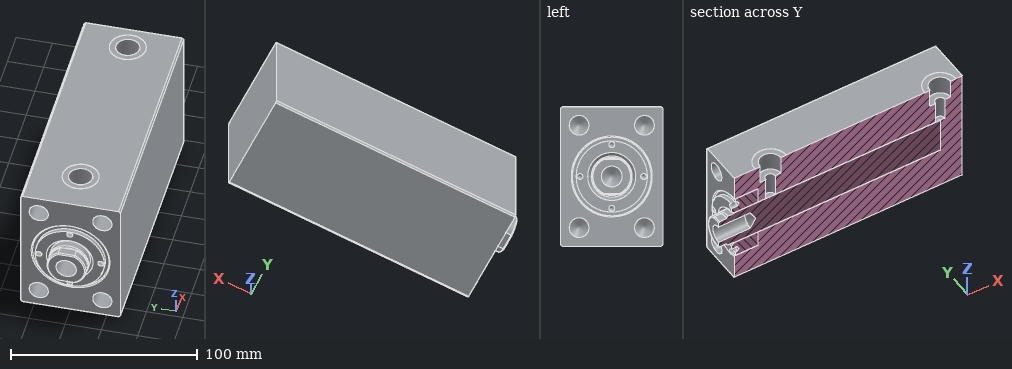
import cadquery as cq
import math


TOTAL_LENGTH = 155.0
WIDTH = 55.0
HEIGHT = 75.0
FRONT_FACE_X = 9.9
EDGE_CHAMFER = 1.0
BLOCK_LENGTH = TOTAL_LENGTH - FRONT_FACE_X

DRILL_POINT_ANGLE = 118.0

MOUNT_SPACING_Y = 35.0
MOUNT_SPACING_Z = 54.9
MOUNT_RADIUS = 5.3
MOUNT_DEPTH = 20.2

PORT_FRONT_X = 33.0
PORT_REAR_X = 140.9
SPOTFACE_RADIUS = 9.9
SPOTFACE_DEPTH = 0.2
PORT_RADIUS = 6.5
PORT_DEPTH = 12.0
OIL_HOLE_RADIUS = 3.0
OIL_HOLE_WALL = 0.5

GLAND_RADIUS = 21.1
GLAND_BOSS_RADIUS = 19.0
GLAND_FRONT_X = 8.0
GLAND_LEDGE_INSET = 0.6
GLAND_REAR_X = 25.0
SEAT_CHAMFER = 0.6
WIPER_RADIUS = 12.9
SPANNER_HOLE_COUNT = 4
SPANNER_CIRCLE_RADIUS = 17.0
SPANNER_HOLE_RADIUS = 1.5
SPANNER_HOLE_DEPTH = 3.9

ROD_RADIUS = 11.0
ROD_TIP_RADIUS = 10.7
ROD_SHOULDER_X = 5.1
ROD_SHOULDER_CHAMFER = 0.8
ROD_TIP_CHAMFER = 0.6
ROD_FLAT_SPACING = 19.4
ROD_BORE_RADIUS = 5.6
ROD_BORE_DEPTH = 20.2
ROD_REAR_X = PORT_REAR_X

GLAND_LEDGE_X = FRONT_FACE_X + GLAND_LEDGE_INSET


def revolve_about_x(points):
    """Solid of revolution about the X axis from (x, radius) points."""
    return cq.Workplane("XY").polyline(points).close().revolve(360, (0, 0, 0), (1, 0, 0))


def cylinder_on_x(radius, start_x, end_x):
    return cq.Workplane("YZ", origin=(start_x, 0, 0)).circle(radius).extrude(end_x - start_x)


def drilled_hole(radius, depth, start_x, y=0.0, z=0.0):
    """Blind hole along +X with a conical drill point beyond its full-diameter depth."""
    point_length = radius / math.tan(math.radians(DRILL_POINT_ANGLE / 2))
    profile = [(0, 0), (0, radius), (depth, radius), (depth + point_length, 0)]
    return revolve_about_x(profile).translate((start_x, y, z))


def oil_port(x):
    """Shallow spotface, port hole and small oil hole going down from the top face."""
    top_z = HEIGHT / 2
    oil_hole_depth = top_z - ROD_RADIUS - OIL_HOLE_WALL
    top_plane = cq.Workplane("XY", origin=(x, 0, top_z))
    spotface = top_plane.circle(SPOTFACE_RADIUS).extrude(-SPOTFACE_DEPTH)
    port = top_plane.circle(PORT_RADIUS).extrude(-PORT_DEPTH)
    oil_hole = top_plane.circle(OIL_HOLE_RADIUS).extrude(-oil_hole_depth)
    return spotface.union(port).union(oil_hole)


def make_housing():
    block = cq.Workplane("YZ", origin=(FRONT_FACE_X, 0, 0)).rect(WIDTH, HEIGHT).extrude(BLOCK_LENGTH)
    block = block.edges("|X").chamfer(EDGE_CHAMFER)

    seat = cylinder_on_x(GLAND_RADIUS, FRONT_FACE_X, GLAND_REAR_X)
    seat_mouth = revolve_about_x([
        (FRONT_FACE_X, 0),
        (FRONT_FACE_X, GLAND_RADIUS + SEAT_CHAMFER),
        (FRONT_FACE_X + SEAT_CHAMFER, GLAND_RADIUS),
        (FRONT_FACE_X + SEAT_CHAMFER, 0),
    ])
    rod_bore = cylinder_on_x(ROD_RADIUS, FRONT_FACE_X, ROD_REAR_X)
    block = block.cut(seat).cut(seat_mouth).cut(rod_bore)

    for side_y in (-1, 1):
        for side_z in (-1, 1):
            y = side_y * MOUNT_SPACING_Y / 2
            z = side_z * MOUNT_SPACING_Z / 2
            block = block.cut(drilled_hole(MOUNT_RADIUS, MOUNT_DEPTH, FRONT_FACE_X, y, z))

    for port_x in (PORT_FRONT_X, PORT_REAR_X):
        block = block.cut(oil_port(port_x))
    return block


def make_gland():
    mouth_depth = WIPER_RADIUS - ROD_RADIUS
    gland = revolve_about_x([
        (GLAND_FRONT_X, WIPER_RADIUS),
        (GLAND_FRONT_X, GLAND_BOSS_RADIUS),
        (GLAND_LEDGE_X, GLAND_BOSS_RADIUS),
        (GLAND_LEDGE_X, GLAND_RADIUS),
        (GLAND_REAR_X, GLAND_RADIUS),
        (GLAND_REAR_X, ROD_RADIUS),
        (GLAND_FRONT_X + mouth_depth, ROD_RADIUS),
    ])
    for index in range(SPANNER_HOLE_COUNT):
        angle = index * 2 * math.pi / SPANNER_HOLE_COUNT
        y = SPANNER_CIRCLE_RADIUS * math.cos(angle)
        z = SPANNER_CIRCLE_RADIUS * math.sin(angle)
        gland = gland.cut(drilled_hole(SPANNER_HOLE_RADIUS, SPANNER_HOLE_DEPTH, GLAND_FRONT_X, y, z))
    return gland


def make_rod():
    tip_round = cylinder_on_x(ROD_TIP_RADIUS, 0, ROD_SHOULDER_X)
    tip_flats = cq.Workplane("YZ").rect(2 * ROD_TIP_RADIUS, ROD_FLAT_SPACING).extrude(ROD_SHOULDER_X)
    tip = tip_round.intersect(tip_flats).faces("<X").chamfer(ROD_TIP_CHAMFER)

    shank = cylinder_on_x(ROD_RADIUS, ROD_SHOULDER_X, ROD_REAR_X)
    shank = shank.faces("<X").chamfer(ROD_SHOULDER_CHAMFER)
    return tip.union(shank).cut(drilled_hole(ROD_BORE_RADIUS, ROD_BORE_DEPTH, 0))


housing = make_housing()
gland = make_gland()
rod = make_rod()

result = cq.Compound.makeCompound([housing.val(), gland.val(), rod.val()])